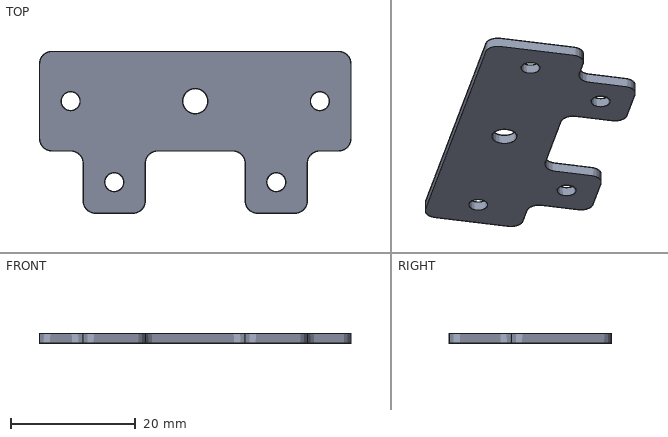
import cadquery as cq

plate_length = 50.0
plate_width = 16.0
thickness = 1.6
corner_radius = 2.0

tab_width = 10.0
tab_length = 10.0
tab_spacing = 26.0

small_hole_diameter = 3.0
center_hole_diameter = 4.0
plate_hole_spacing = 40.0
tab_hole_from_tip = 5.0

total_width = plate_width + tab_length
back_y = total_width / 2
tab_tip_y = -total_width / 2
plate_front_y = tab_tip_y + tab_length
plate_center_y = (back_y + plate_front_y) / 2
tab_hole_y = tab_tip_y + tab_hole_from_tip


def block(x_center, x_size, y_low, y_high):
    """Full-thickness block between two Y positions."""
    return (
        cq.Workplane("XY")
        .center(x_center, (y_low + y_high) / 2)
        .rect(x_size, y_high - y_low)
        .extrude(thickness)
    )


def drill(body, diameter, points):
    """Cut through holes at the given points."""
    cutter = cq.Workplane("XY").pushPoints(points).circle(diameter / 2).extrude(thickness)
    return body.cut(cutter)


result = block(0, plate_length, plate_front_y, back_y)
for side in (-1, 1):
    result = result.union(block(side * tab_spacing / 2, tab_width, tab_tip_y, plate_center_y))
result = result.clean().edges("|Z").fillet(corner_radius)

small_hole_points = []
for side in (-1, 1):
    small_hole_points.append((side * plate_hole_spacing / 2, plate_center_y))
    small_hole_points.append((side * tab_spacing / 2, tab_hole_y))
result = drill(result, small_hole_diameter, small_hole_points)
result = drill(result, center_hole_diameter, [(0, plate_center_y)])